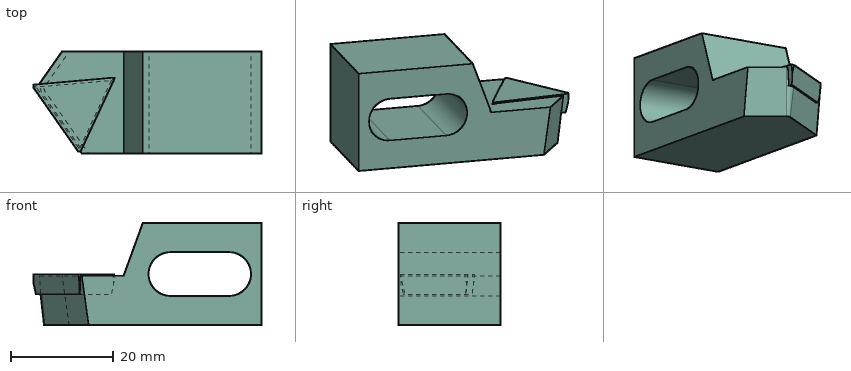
import cadquery as cq
import math

length = 44.65
width = 20.0
height = 20.0
step_height = 9.7
step_end_x = 17.65
shoulder_x = 21.4

slot_length = 20.0
slot_width = 8.55
slot_center_x = 32.55
slot_center_z = height / 2

nose_half_angle = 55.0
nose_relief_angle = 6.5
nose_tip_x = 1.88
nose_tip_y = 12.78
nose_radius = 0.8

insert_side = 16.5
insert_thickness = 3.98
insert_top = 10.0
insert_relief_angle = 7.0
insert_tip_y = 13.5
insert_rotation = 5.0
triangle_angle = 60.0
corner_flat_depth = 0.45
corner_flat_directions = (
    180.0,
    insert_rotation - 1.5 * triangle_angle,
    insert_rotation + triangle_angle / 2,
)
tip_bisector = math.radians(insert_rotation - triangle_angle / 2)
insert_tip_x = -corner_flat_depth * math.cos(tip_bisector)


def triangle_corners():
    """Sharp corners of the insert's top face: tip, front, rear."""
    tip = (insert_tip_x, insert_tip_y)
    corners = [tip]
    for angle in (insert_rotation - triangle_angle, insert_rotation):
        direction = math.radians(angle)
        corners.append((
            insert_tip_x + insert_side * math.cos(direction),
            insert_tip_y + insert_side * math.sin(direction),
        ))
    return corners


def make_sharp_insert():
    """Triangle that narrows downward, with its corners still sharp."""
    return (
        cq.Workplane("XY", origin=(0, 0, insert_top))
        .polyline(triangle_corners())
        .close()
        .extrude(-insert_thickness, taper=insert_relief_angle)
    )


def make_insert():
    """Insert with a small upright flat on each corner."""
    insert = make_sharp_insert()
    corners = triangle_corners()
    center_x = sum(x for x, _ in corners) / len(corners)
    center_y = sum(y for _, y in corners) / len(corners)
    for (x, y), flat_direction in zip(corners, corner_flat_directions):
        reach = math.hypot(center_x - x, center_y - y)
        inset_x = x + corner_flat_depth * (center_x - x) / reach
        inset_y = y + corner_flat_depth * (center_y - y) / reach
        cutter = (
            cq.Workplane("XY")
            .box(insert_side, insert_side, height, centered=(False, True, False))
            .rotate((0, 0, 0), (0, 0, 1), flat_direction)
            .translate((inset_x, inset_y, 0))
        )
        insert = insert.cut(cutter)
    return insert


def make_block():
    """Stepped block with its sloped shoulder."""
    return (
        cq.Workplane("XZ")
        .moveTo(0, 0)
        .lineTo(length, 0)
        .lineTo(length, height)
        .lineTo(shoulder_x, height)
        .lineTo(step_end_x, step_height)
        .lineTo(0, step_height)
        .close()
        .extrude(-width)
    )


def make_nose_envelope():
    """Rounded wedge that widens upward and reaches past the block's other sides."""
    back_x = 2 * length
    half_width = (back_x - nose_tip_x) * math.tan(math.radians(nose_half_angle))
    wedge = (
        cq.Workplane("XY")
        .moveTo(nose_tip_x, nose_tip_y)
        .lineTo(back_x, nose_tip_y - half_width)
        .lineTo(back_x, nose_tip_y + half_width)
        .close()
        .extrude(height)
    )
    outline = wedge.edges("|Z and <X").fillet(nose_radius).faces("<Z").wires().val()
    return cq.Workplane("XY").add(outline).toPending().extrude(height, taper=-nose_relief_angle)


def make_slot():
    return (
        cq.Workplane("XZ")
        .center(slot_center_x, slot_center_z)
        .slot2D(slot_length, slot_width)
        .extrude(-width)
    )


def make_holder():
    """Block with pointed nose, slot and a sharp-cornered insert pocket."""
    holder = make_block().intersect(make_nose_envelope())
    return holder.cut(make_slot()).cut(make_sharp_insert())


holder = make_holder()
insert = make_insert()
result = cq.Compound.makeCompound([holder.solids().val(), insert.solids().val()])